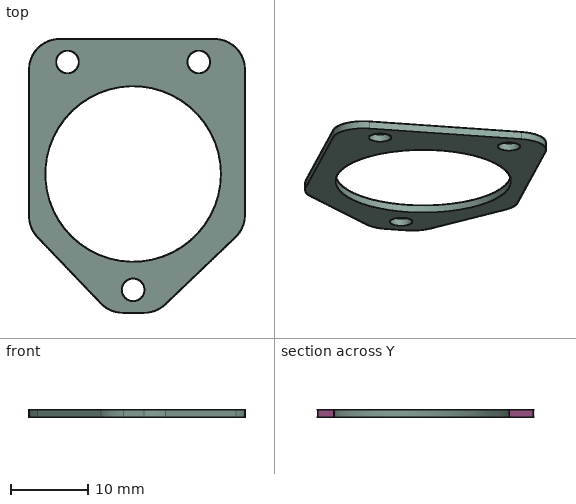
import cadquery as cq

thickness = 1.0
left_edge = -13.5
right_edge = 14.5
top_edge = 17.5
bottom_edge = -18.0
right_shoulder_y = -7.0
left_shoulder_y = -7.025
bottom_half_width = 3.0
corner_radius = 4.0

bore_diameter = 22.7
bolt_diameter = 2.9
upper_bolt_x = 8.5
upper_bolt_y = 14.5
lower_bolt_y = -15.0


def make_plate():
    """Flat six-sided plate with every corner rounded."""
    corners = [
        (left_edge, top_edge),
        (right_edge, top_edge),
        (right_edge, right_shoulder_y),
        (bottom_half_width, bottom_edge),
        (-bottom_half_width, bottom_edge),
        (left_edge, left_shoulder_y),
    ]
    plate = cq.Workplane("XY").polyline(corners).close().extrude(thickness)
    return plate.edges("|Z").fillet(corner_radius)


def cut_bore(plate):
    """Large central opening through the plate."""
    bore = cq.Workplane("XY").circle(bore_diameter / 2).extrude(thickness)
    return plate.cut(bore)


def cut_bolt_holes(plate):
    """Three through holes: two at the top corners and one at the bottom."""
    centres = [
        (-upper_bolt_x, upper_bolt_y),
        (upper_bolt_x, upper_bolt_y),
        (0, lower_bolt_y),
    ]
    holes = cq.Workplane("XY").pushPoints(centres).circle(bolt_diameter / 2).extrude(thickness)
    return plate.cut(holes)


result = cut_bolt_holes(cut_bore(make_plate()))